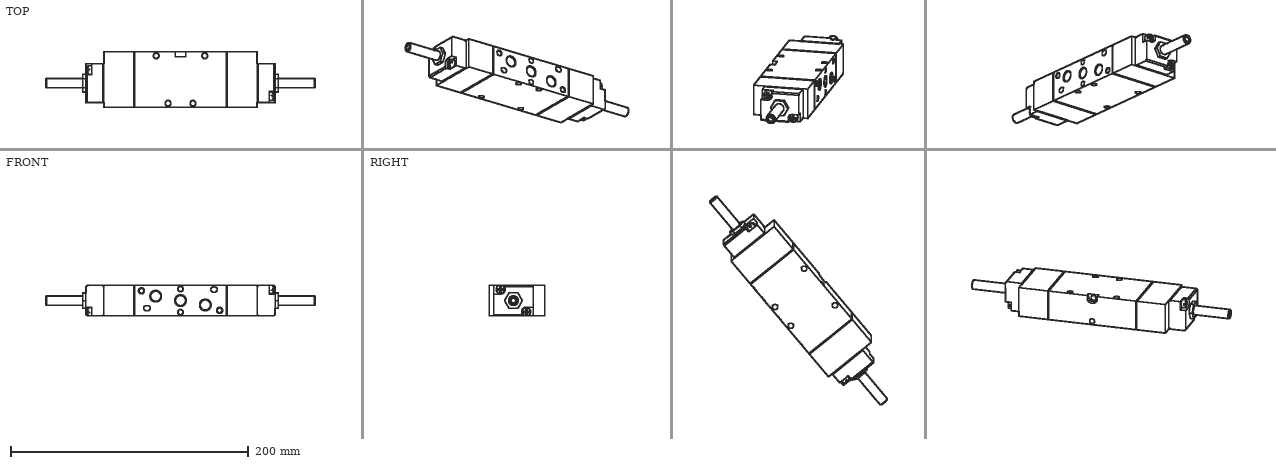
import cadquery as cq
import math

total_length = 227.0
body_width = 47.0
body_height = 26.0

middle_half_length = 38.7
cover_outer_x = 64.7
gasket_thickness = 0.7
gasket_inset = 0.5

block_outer_x = 79.7
block_width = 33.0
block_center_y = -3.0
block_edge_chamfer = 1.2

screw_head_diameter = 7.0
screw_offset_y = 11.0
screw_offset_z = body_height / 2 - screw_head_diameter / 2
screw_head_height = 3.4
screw_head_fillet = 0.6
corner_notch_radius = 4.0
corner_notch_depth = 4.9
cross_length = 5.0
cross_width = 1.2
cross_depth = 1.5

nut_across_flats = 13.0
nut_thickness = 2.8
tube_diameter = 8.0
tube_end_chamfer = 0.5

small_core_diameter = 4.13
small_thread_diameter = 5.0
small_port_depth = 8.0
main_core_diameter = 8.57
main_thread_diameter = 9.73
main_port_depth = 12.0
drill_point_angle = 118.0
small_port_x = 33.0
small_port_z = 8.2
side_port_x = 20.9
side_port_z = 3.7

slot_centers = [(-28.3, -6.4), (28.3, 9.3)]
slot_length = 5.5
slot_width = 4.3
slot_depth = 5.0

front_hole_diameter = 4.3
front_hole_z = 9.8
top_hole_diameter = 4.5
top_hole_positions = [(20.5, 20.0), (10.5, -20.0)]

rear_notch_diameter = 9.0
rear_notch_depth = 4.1
rear_notch_z = 11.0

front_y = -body_width / 2
rear_y = body_width / 2
top_z = body_height / 2


def centered_box(x_start, x_end, width, height, center_y=0.0):
    """A box between two X positions, centred on Z = 0."""
    length = x_end - x_start
    return cq.Workplane("XY").box(length, width, height).translate((x_start + length / 2, center_y, 0))


def cover_gasket(x_start):
    """Gasket between the middle section and a cover, set back on all four sides."""
    return centered_box(
        x_start,
        x_start + gasket_thickness,
        body_width - 2 * gasket_inset,
        body_height - 2 * gasket_inset,
    )


def pilot_gasket():
    """Gasket behind the left pilot block, set back only at its top and bottom."""
    return centered_box(
        -cover_outer_x - gasket_thickness,
        -cover_outer_x,
        block_width,
        body_height - 2 * gasket_inset,
        block_center_y,
    )


def threaded_port(core_diameter, thread_diameter, depth, pointed):
    """Cutting tool for a port: it opens at the origin and runs along +Z."""
    core_radius = core_diameter / 2
    thread_radius = thread_diameter / 2
    outline = (
        cq.Workplane("XZ")
        .lineTo(thread_radius, 0)
        .lineTo(core_radius, thread_radius - core_radius)
        .lineTo(core_radius, depth)
    )
    tip_height = 0.0
    if pointed:
        tip_height = core_radius / math.tan(math.radians(drill_point_angle / 2))
    return outline.lineTo(0, depth + tip_height).close().revolve(360, (0, 0, 0), (0, 1, 0))


def front_port(port, x, z):
    """Turn a port tool to run along +Y from a point on the front face."""
    return port.rotate((0, 0, 0), (1, 0, 0), -90).translate((x, front_y, z))


def make_middle_section():
    middle = centered_box(-middle_half_length, middle_half_length, body_width, body_height)

    main_port = threaded_port(main_core_diameter, main_thread_diameter, main_port_depth, False)
    small_port = threaded_port(small_core_diameter, small_thread_diameter, small_port_depth, True)
    middle = middle.cut(front_port(main_port, 0, 0))
    for side in (-1, 1):
        middle = middle.cut(front_port(main_port, side * side_port_x, -side * side_port_z))
        middle = middle.cut(front_port(small_port, side * small_port_x, -side * small_port_z))

    slots = (
        cq.Workplane("XZ", origin=(0, front_y, 0))
        .pushPoints(slot_centers)
        .slot2D(slot_length, slot_width)
        .extrude(-slot_depth)
    )
    front_holes = (
        cq.Workplane("XZ", origin=(0, front_y, 0))
        .pushPoints([(0, -front_hole_z), (0, front_hole_z)])
        .circle(front_hole_diameter / 2)
        .extrude(-body_width)
    )
    top_holes = (
        cq.Workplane("XY", origin=(0, 0, -top_z))
        .pushPoints([(side * x, y) for x, y in top_hole_positions for side in (-1, 1)])
        .circle(top_hole_diameter / 2)
        .extrude(body_height)
    )
    return middle.cut(slots).cut(front_holes).cut(top_holes).cut(make_rear_notch())


def make_rear_notch():
    """U-shaped cutter: a round floor with upright sides up to the top face."""
    radius = rear_notch_diameter / 2
    return (
        cq.Workplane("XZ", origin=(0, rear_y, 0))
        .moveTo(-radius, top_z)
        .lineTo(-radius, rear_notch_z)
        .threePointArc((0, rear_notch_z - radius), (radius, rear_notch_z))
        .lineTo(radius, top_z)
        .close()
        .extrude(rear_notch_depth)
    )


def make_pilot_block():
    """Left pilot block, with corner notches and screws, placed on the body."""
    block = centered_box(
        -block_outer_x,
        -cover_outer_x - gasket_thickness,
        block_width,
        body_height,
        block_center_y,
    )
    block = block.faces("<X").edges("|Y").chamfer(block_edge_chamfer)
    for side in (-1, 1):
        block = add_corner_screw(block, side)
    return block.union(pilot_gasket())


def add_corner_screw(block, side):
    """Cut one corner notch and set a cross-recessed screw head on its floor."""
    screw_y = block_center_y + side * screw_offset_y
    screw_z = side * screw_offset_z
    floor_x = -block_outer_x + corner_notch_depth
    floor = cq.Workplane("YZ", origin=(floor_x, screw_y, screw_z))

    reach_y = side * (block_width / 2 - screw_offset_y)
    reach_z = side * (top_z - screw_offset_z)
    inner = -side * corner_notch_radius
    round_middle = inner * math.sqrt(0.5)
    notch = (
        floor.moveTo(reach_y, reach_z)
        .lineTo(inner, reach_z)
        .lineTo(inner, 0)
        .threePointArc((round_middle, round_middle), (0, inner))
        .lineTo(reach_y, inner)
        .close()
        .extrude(-corner_notch_depth)
    )

    head = floor.circle(screw_head_diameter / 2).extrude(-screw_head_height)
    head = head.faces("<X").edges().fillet(screw_head_fillet)
    recess_floor = floor.workplane(offset=-screw_head_height + cross_depth)
    cross_bars = ((cross_length, cross_width), (cross_width, cross_length))
    for length_y, length_z in cross_bars:
        head = head.cut(recess_floor.rect(length_y, length_z).extrude(-cross_depth))
    return block.cut(notch).union(head)


def make_nut_and_tube():
    """Left nut and tube; the tube has a threaded bore in its free end."""
    block_face = cq.Workplane("YZ", origin=(-block_outer_x, block_center_y, 0))
    nut_across_corners = nut_across_flats / math.cos(math.pi / 6)
    nut = block_face.polygon(6, nut_across_corners).extrude(-nut_thickness)

    tube_length = total_length / 2 - block_outer_x
    tube = block_face.circle(tube_diameter / 2).extrude(-tube_length)
    tube = tube.faces("<X").edges().chamfer(tube_end_chamfer)
    bore = threaded_port(small_core_diameter, small_thread_diameter, small_port_depth, True)
    bore = bore.rotate((0, 0, 0), (0, 1, 0), 90).translate((-total_length / 2, block_center_y, 0))
    return nut.union(tube.cut(bore))


def make_cover():
    """Left cover with the gasket that joins it to the middle section."""
    joint_x = -middle_half_length - gasket_thickness
    cover = centered_box(-cover_outer_x, joint_x, body_width, body_height)
    return cover.union(cover_gasket(joint_x))


def half_turn(part, center_y):
    """Turn a left-end part half a turn about a vertical axis to make its right-end twin."""
    return part.rotate((0, center_y, 0), (0, center_y, 1), 180)


left_cover = make_cover()
left_pilot = make_pilot_block().union(make_nut_and_tube())

result = (
    make_middle_section()
    .union(left_cover)
    .union(half_turn(left_cover, 0))
    .union(left_pilot)
    .union(half_turn(left_pilot, block_center_y))
)